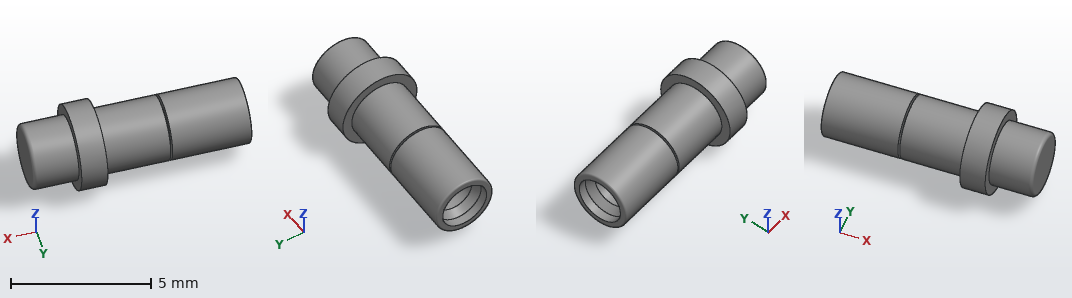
import cadquery as cq

length = 8.09
body_radius = 1.205
front_fillet = 0.07
rear_fillet = 0.14

flange_radius = 1.585
flange_start = 5.46
flange_width = 0.97

groove_start = 2.95
groove_width = 0.07
groove_radius = 0.95

mouth_radius = 0.94
mouth_depth = 0.35
cone_length = 0.32
bore_radius = 0.745
bore_floor = groove_start

pin_radius = 0.12
pin_tip = 0.97


def cylinder(radius, start, width):
    """Solid cylinder on the X axis."""
    return cq.Workplane("YZ", origin=(start, 0, 0)).circle(radius).extrude(width)


def make_body():
    barrel = cylinder(body_radius, 0, length)
    barrel = barrel.faces("<X").edges().fillet(front_fillet)
    barrel = barrel.faces(">X").edges().fillet(rear_fillet)
    flange = cylinder(flange_radius, flange_start, flange_width)
    return barrel.union(flange)


def make_groove():
    ring = cylinder(flange_radius, groove_start, groove_width)
    return ring.cut(cylinder(groove_radius, groove_start, groove_width))


def make_socket():
    cone_end = mouth_depth + cone_length
    profile = (
        cq.Workplane("XY")
        .moveTo(0, 0)
        .lineTo(0, mouth_radius)
        .lineTo(mouth_depth, mouth_radius)
        .lineTo(cone_end, bore_radius)
        .lineTo(bore_floor, bore_radius)
        .lineTo(bore_floor, 0)
        .close()
    )
    return profile.revolve(360, (0, 0, 0), (1, 0, 0))


def make_pin():
    dome_center = pin_tip + pin_radius
    pin_root = bore_floor + pin_radius
    shaft = cylinder(pin_radius, dome_center, pin_root - dome_center)
    dome = cq.Workplane("XY", origin=(dome_center, 0, 0)).sphere(pin_radius)
    return shaft.union(dome)


result = make_body().cut(make_groove()).cut(make_socket()).union(make_pin())